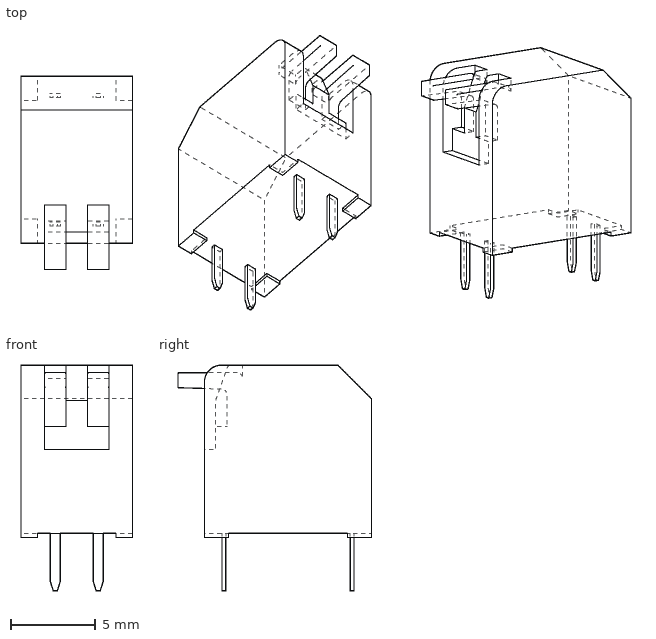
import cadquery as cq
import math


width = 6.65
depth = 9.92
height = 10.24
overall_height = 13.4
front_radius = 1.02
rear_chamfer = 2.0

foot_width = 1.0
foot_depth = 1.43
foot_height = 0.24

pitch = 2.55
lever_width = 1.29
window_width = pitch + lever_width
window_depth = 0.65
window_drop = 5.0
channel_depth = 2.26
channel_drop = 3.66

rib_width = window_width - 2 * lever_width
slope_drop = 2.12
slope_angle = 19.6
rib_radius = 0.25

lever_drop = 0.45
lever_reach = 1.57
lever_tip_height = 0.9
lever_root_height = 0.98
lever_stem_face = 1.33
lever_inner_radius = 0.31
lever_rear_radius = 0.34
lever_tip_radius = 0.05

pin_row_spacing = 7.61
pin_width = 0.62
pin_thickness = 0.24
pin_length = overall_height - height
pin_tip_width = 0.25
pin_tip_length = 0.58


def front_box(box_width, y_back, z_bottom, z_top):
    """Box centred on X that runs from the front face back to y_back."""
    return (
        cq.Workplane("XY", origin=(0, 0, z_bottom))
        .rect(box_width, 2 * y_back)
        .extrude(z_top - z_bottom)
    )


def side_extrusion(profile_width, outline):
    """Solid centred on X, from a function that draws a closed outline in (Y, Z)."""
    return outline(cq.Workplane("YZ")).extrude(profile_width / 2, both=True)


def make_housing():
    block = cq.Workplane("XY").box(width, depth, height, centered=(True, False, False))
    block = block.faces("<Y").edges(">Z").fillet(front_radius)
    return block.faces(">Y").edges(">Z").chamfer(rear_chamfer)


def make_underside_recess():
    """Cross-shaped clearance that leaves a foot at each corner."""
    middle = cq.Workplane("XY", origin=(0, depth / 2, 0))
    along_x = middle.rect(width, depth - 2 * foot_depth).extrude(foot_height)
    along_y = middle.rect(width - 2 * foot_width, depth).extrude(foot_height)
    return along_x.union(along_y)


def make_rib():
    """Rib between the channels, upright at its foot and sloping back to a rounded top edge."""
    slope_run = slope_drop * math.tan(math.radians(slope_angle))
    floor = height - channel_drop

    def outline(plane):
        return (
            plane.moveTo(window_depth, floor)
            .lineTo(window_depth, height - slope_drop)
            .lineTo(window_depth + slope_run, height)
            .lineTo(channel_depth, height)
            .lineTo(channel_depth, floor)
            .close()
        )

    rib = side_extrusion(rib_width, outline)
    return rib.edges("|X").edges(">Z").edges("<Y").fillet(rib_radius)


def make_openings():
    """Window through the front face, with a deeper channel behind it for each lever."""
    window = front_box(window_width, window_depth, height - window_drop, height)
    channels = front_box(window_width, channel_depth, height - channel_drop, height).cut(make_rib())
    return window.union(channels)


def make_lever():
    """L-shaped lever: an arm reaching out of the window and a stem down to the channel floor."""
    top = height - lever_drop
    floor = height - channel_drop

    def outline(plane):
        return (
            plane.moveTo(-lever_reach, top)
            .lineTo(channel_depth, top)
            .lineTo(channel_depth, floor)
            .lineTo(lever_stem_face, floor)
            .lineTo(lever_stem_face, top - lever_root_height)
            .lineTo(-lever_reach, top - lever_tip_height)
            .close()
        )

    lever = side_extrusion(lever_width, outline)
    inner_corner = cq.selectors.NearestToPointSelector((0, lever_stem_face, top - lever_root_height))
    lever = lever.edges("|X").edges(inner_corner).fillet(lever_inner_radius)
    lever = lever.faces(">Y").edges(">Z").fillet(lever_rear_radius)
    return lever.faces("<Y").edges().fillet(lever_tip_radius)


def make_pin():
    """Flat pin that hangs from the recessed underside and tapers at its tip."""
    half_width = pin_width / 2
    half_tip = pin_tip_width / 2
    taper_start = pin_tip_length - pin_length
    return (
        cq.Workplane("XZ")
        .moveTo(-half_width, foot_height)
        .lineTo(half_width, foot_height)
        .lineTo(half_width, taper_start)
        .lineTo(half_tip, -pin_length)
        .lineTo(-half_tip, -pin_length)
        .lineTo(-half_width, taper_start)
        .close()
        .extrude(pin_thickness / 2, both=True)
    )


result = make_housing().cut(make_underside_recess()).cut(make_openings())

for x in (-pitch / 2, pitch / 2):
    result = result.union(make_lever().translate((x, 0, 0)))
    for row_side in (-1, 1):
        y = (depth + row_side * pin_row_spacing) / 2
        result = result.union(make_pin().translate((x, y, 0)))